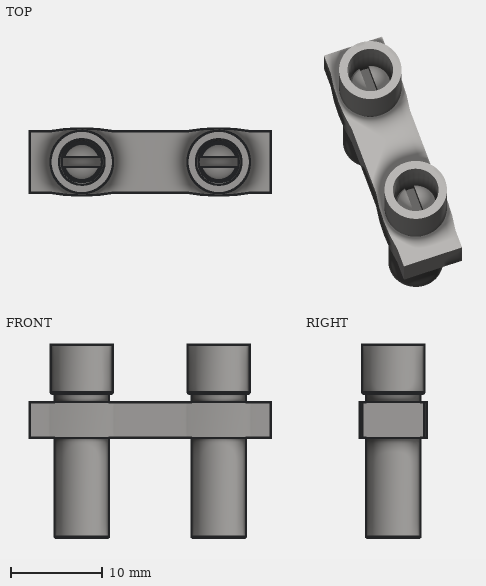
import cadquery as cq

plate_length = 26.4
plate_width = 6.75
plate_thickness = 3.9
screw_spacing = 15.0
bulge_length = 7.0
bulge_rise = 0.32

shank_radius = 3.0
shank_reach = 11.0
shank_chamfer = 0.2
neck_height = 0.9
head_radius = 3.425
head_height = 5.4
head_chamfer = 0.2

socket_radius = 2.2
socket_depth = 4.0
mouth_radius = 2.5
face_chamfer = 0.2
slot_width = 1.05
slot_depth = 1.0

head_bottom = plate_thickness + neck_height
screw_top = head_bottom + head_height
socket_floor = screw_top - socket_depth


def make_plate():
    """Bar whose long edges swell outwards in an arc beside each screw."""
    half_length = plate_length / 2
    half_width = plate_width / 2
    crest = half_width + bulge_rise
    near = screw_spacing / 2 - bulge_length / 2
    middle = screw_spacing / 2
    far = screw_spacing / 2 + bulge_length / 2
    return (
        cq.Workplane("XY")
        .moveTo(-half_length, -half_width)
        .lineTo(-far, -half_width)
        .threePointArc((-middle, -crest), (-near, -half_width))
        .lineTo(near, -half_width)
        .threePointArc((middle, -crest), (far, -half_width))
        .lineTo(half_length, -half_width)
        .lineTo(half_length, half_width)
        .lineTo(far, half_width)
        .threePointArc((middle, crest), (near, half_width))
        .lineTo(-near, half_width)
        .threePointArc((-middle, crest), (-far, half_width))
        .lineTo(-half_length, half_width)
        .close()
        .extrude(plate_thickness)
    )


def make_screw():
    """Turned screw on the Z axis, with a socket and a slot across its bottom."""
    half_profile = [
        (0, -shank_reach),
        (shank_radius - shank_chamfer, -shank_reach),
        (shank_radius, -shank_reach + shank_chamfer),
        (shank_radius, head_bottom),
        (head_radius - head_chamfer, head_bottom),
        (head_radius, head_bottom + head_chamfer),
        (head_radius, screw_top),
        (mouth_radius, screw_top),
        (socket_radius, socket_floor - face_chamfer),
        (socket_radius - face_chamfer, socket_floor),
        (0, socket_floor),
    ]
    screw = (
        cq.Workplane("XZ")
        .polyline([(-radius, height) for radius, height in half_profile])
        .close()
        .revolve(360, (0, 0, 0), (0, -1, 0))
    )
    return screw.cut(make_slot())


def make_slot():
    """Driver slot along X, ending at the socket wall."""
    slot_bar = (
        cq.Workplane("XY", origin=(0, 0, socket_floor - slot_depth))
        .rect(2 * socket_radius, slot_width)
        .extrude(slot_depth)
    )
    socket_core = (
        cq.Workplane("XY", origin=(0, 0, socket_floor - slot_depth))
        .circle(socket_radius)
        .extrude(slot_depth)
    )
    return slot_bar.intersect(socket_core)


result = make_plate()
for side in (-1, 1):
    result = result.union(make_screw().translate((side * screw_spacing / 2, 0, 0)))